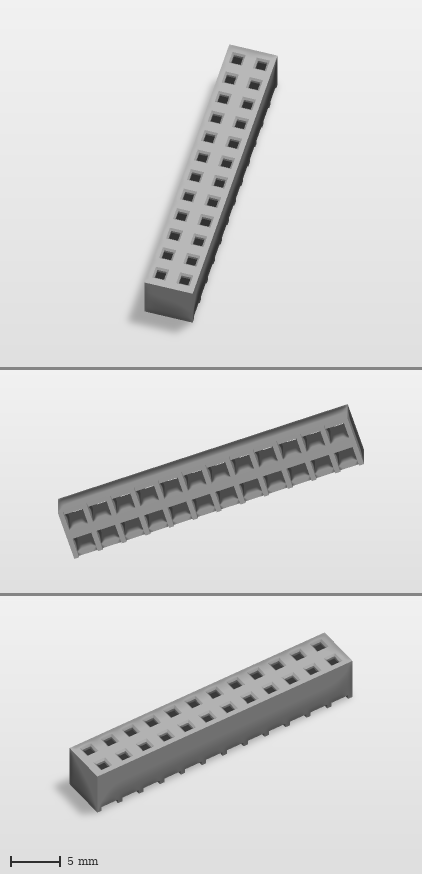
import cadquery as cq

length = 30.98
width = 5.08
height = 5.0

pitch = 2.55
rows = 12
columns = 2

roof_thickness = 0.5
opening_side = 1.0
mouth_side = 1.4
mouth_depth = (mouth_side - opening_side) / 2

chamber_length = 2.0
chamber_width = 1.6
chamber_height = height - roof_thickness

notch_height = 0.5
side_wall = (width - (columns - 1) * pitch - chamber_width) / 2


def centered_positions(count):
    return [(i - (count - 1) / 2) * pitch for i in range(count)]


row_positions = centered_positions(rows)
column_positions = centered_positions(columns)
grid_points = [(x, y) for x in column_positions for y in row_positions]


def make_body():
    return cq.Workplane("XY").box(width, length, height, centered=(True, True, False))


def make_prisms(points, size_x, size_y, prism_height):
    """Upright rectangular prisms standing on the underside at the given points."""
    return cq.Workplane("XY").pushPoints(points).rect(size_x, size_y).extrude(prism_height)


def cut_chambers(body):
    return body.cut(make_prisms(grid_points, chamber_width, chamber_length, chamber_height))


def cut_openings(body):
    """Cut the square openings through the roof and taper their mouths."""
    body = body.cut(make_prisms(grid_points, opening_side, opening_side, height))
    mouth = (
        cq.Workplane("XY", origin=(0, 0, height - mouth_depth))
        .rect(opening_side, opening_side)
        .workplane(offset=mouth_depth)
        .rect(mouth_side, mouth_side)
        .loft(ruled=True)
    )
    for x, y in grid_points:
        body = body.cut(mouth.translate((x, y, 0)))
    return body


def cut_tail_notches(body):
    """Notch the lower edge of both long side walls beside every chamber."""
    wall_center = (width - side_wall) / 2
    notch_points = [(x, y) for x in (-wall_center, wall_center) for y in row_positions]
    return body.cut(make_prisms(notch_points, side_wall, chamber_length, notch_height))


body = make_body()
body = cut_chambers(body)
body = cut_openings(body)
result = cut_tail_notches(body)